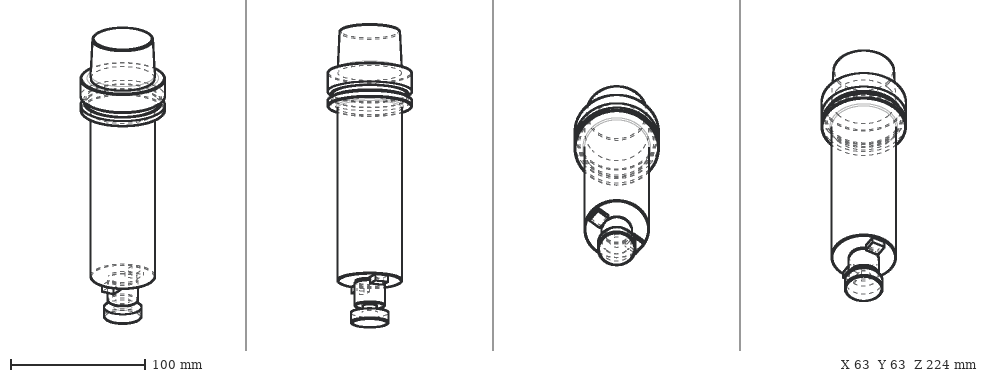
import cadquery as cq


total_height = 224.0
flange_top = total_height - 31.8
groove_top = total_height - 48.1
groove_bottom = total_height - 51.7
flange_bottom = total_height - 58.0
body_bottom = 32.2
key_bottom = 27.3
pilot_bottom = 13.2
head_top = 8.0

shank_top_radius = 22.6
shank_base_radius = 24.0
shank_taper_length = 28.9
shank_chamfer = 1.0
shank_foot_radius = 23.7

flange_radius = 63.0 / 2
flange_edge_chamfer = 0.7
groove_radius = 27.5
groove_chamfer_height = 1.8
groove_mouth_radius = flange_radius - 2.7
face_recess_radius = 26.6
face_recess_depth = 0.34

body_radius = 48.1 / 2
body_chamfer = 0.7
body_fillet = 1.1
pilot_radius = 11.5
pilot_chamfer = 0.7
relief_radius = 10.7
relief_height = 2.0
relief_bevel_height = 0.7

neck_radius = 5.4
neck_fillet = 1.3
head_radius = 14.0
head_chamfer = 1.0

key_width = 10.3
key_inner_radius = 12.0
key_outer_radius = 22.2
key_embed = 2.2


def revolve_profile(outline):
    """Turn a half outline (radius, height) about the Z axis."""
    return outline.close().revolve(360, (0, 0, 0), (0, 1, 0))


def make_shank_and_flange():
    outline = (
        cq.Workplane("XZ")
        .moveTo(0, total_height)
        .lineTo(shank_top_radius - shank_chamfer, total_height)
        .lineTo(shank_top_radius, total_height - shank_chamfer)
        .lineTo(shank_base_radius, total_height - shank_taper_length)
        .lineTo(shank_foot_radius, flange_top - face_recess_depth)
        .lineTo(face_recess_radius, flange_top)
        .lineTo(flange_radius - flange_edge_chamfer, flange_top)
        .lineTo(flange_radius, flange_top - flange_edge_chamfer)
        .lineTo(flange_radius, groove_top + groove_chamfer_height)
        .lineTo(groove_mouth_radius, groove_top)
        .lineTo(groove_radius, groove_top)
        .lineTo(groove_radius, groove_bottom)
        .lineTo(groove_mouth_radius, groove_bottom)
        .lineTo(flange_radius, groove_bottom - groove_chamfer_height)
        .lineTo(flange_radius, flange_bottom + flange_edge_chamfer)
        .lineTo(flange_radius - flange_edge_chamfer, flange_bottom)
        .lineTo(0, flange_bottom)
    )
    return revolve_profile(outline)


def make_body_and_screw():
    relief_bottom = body_bottom - relief_height
    outline = (
        cq.Workplane("XZ")
        .moveTo(0, flange_bottom)
        .lineTo(body_radius + body_fillet, flange_bottom)
        .radiusArc((body_radius, flange_bottom - body_fillet), -body_fillet)
        .lineTo(body_radius, body_bottom + body_chamfer)
        .lineTo(body_radius - body_chamfer, body_bottom)
        .lineTo(relief_radius, body_bottom)
        .lineTo(relief_radius, relief_bottom + relief_bevel_height)
        .lineTo(pilot_radius, relief_bottom)
        .lineTo(pilot_radius, pilot_bottom + pilot_chamfer)
        .lineTo(pilot_radius - pilot_chamfer, pilot_bottom)
        .lineTo(neck_radius, pilot_bottom)
        .lineTo(neck_radius, head_top + neck_fillet)
        .radiusArc((neck_radius + neck_fillet, head_top), -neck_fillet)
        .lineTo(head_radius, head_top)
        .lineTo(head_radius, head_chamfer)
        .lineTo(head_radius - head_chamfer, 0)
        .lineTo(0, 0)
    )
    return revolve_profile(outline)


def make_key(side):
    """Drive key on the +Y (side = 1) or -Y (side = -1) half of the body face."""
    length = key_outer_radius - key_inner_radius
    middle = side * (key_outer_radius + key_inner_radius) / 2
    height = body_bottom + key_embed - key_bottom
    return (
        cq.Workplane("XY", origin=(0, middle, key_bottom))
        .rect(key_width, length)
        .extrude(height)
    )


result = make_shank_and_flange().union(make_body_and_screw())
for key_side in (-1, 1):
    result = result.union(make_key(key_side))